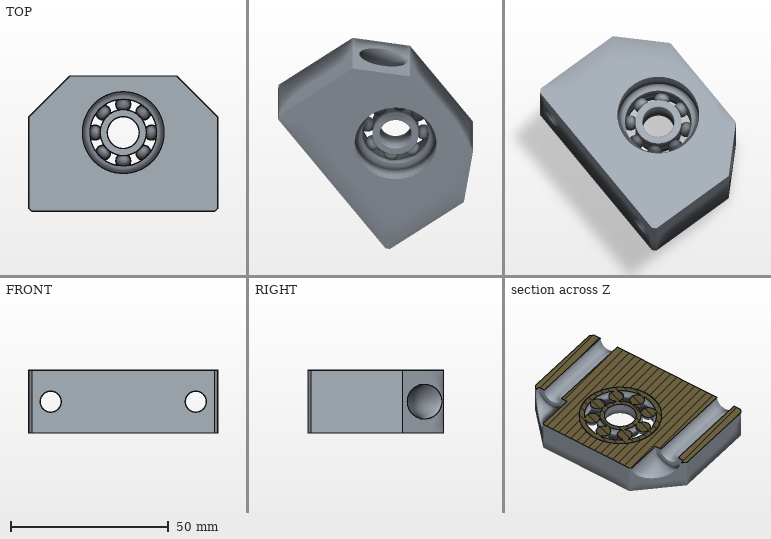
import cadquery as cq
import math


length = 60.0
depth = 43.0
height = 20.0
front_to_axis = 25.0
back_chamfer = 13.0
front_chamfer = 1.0

screw_spacing = 46.0
screw_hole_diameter = 6.6
counterbore_diameter = 11.0

bearing_outer_diameter = 26.0
bearing_bore_diameter = 10.0
bearing_width = 8.0
outer_shoulder_diameter = 21.1
inner_shoulder_diameter = 14.65
ring_edge_radius = 0.3
pitch_diameter = 18.0
ball_count = 8
ball_diameter = 4.8
ball_bite = 0.03

front_y = -front_to_axis
back_y = front_y + depth
counterbore_floor_y = back_y - back_chamfer


def cylinder_along_y(diameter, start_y, end_y, x):
    """Cylinder at mid-height, running in +Y from start_y to end_y."""
    start = cq.Vector(x, start_y, 0)
    direction = cq.Vector(0, 1, 0)
    return cq.Workplane(cq.Solid.makeCylinder(diameter / 2, end_y - start_y, start, direction))


def make_housing():
    """Block with chamfered corners, a bearing bore through it and two counterbored screw holes."""
    block = cq.Workplane("XY").box(length, depth, height).translate((0, front_y + depth / 2, 0))
    block = block.edges("|Z and >Y").chamfer(back_chamfer)
    block = block.edges("|Z and <Y").chamfer(front_chamfer)

    bore = cq.Workplane("XY").circle(bearing_outer_diameter / 2).extrude(height / 2, both=True)
    block = block.cut(bore)

    for x in (-screw_spacing / 2, screw_spacing / 2):
        block = block.cut(cylinder_along_y(screw_hole_diameter, front_y, back_y, x))
        block = block.cut(cylinder_along_y(counterbore_diameter, counterbore_floor_y, back_y, x))
    return block


def make_ring(inner_diameter, outer_diameter):
    """Plain bearing ring centred on the origin."""
    return (
        cq.Workplane("XY")
        .circle(outer_diameter / 2)
        .circle(inner_diameter / 2)
        .extrude(bearing_width / 2, both=True)
    )


def make_bearing():
    """Inner and outer ring, joined into one solid by the balls seated in their raceways."""
    outer_ring = make_ring(outer_shoulder_diameter, bearing_outer_diameter)
    outer_ring = outer_ring.faces("|Z").edges(cq.selectors.RadiusNthSelector(-1)).fillet(ring_edge_radius)
    inner_ring = make_ring(bearing_bore_diameter, inner_shoulder_diameter)
    inner_ring = inner_ring.faces("|Z").edges(cq.selectors.RadiusNthSelector(0)).fillet(ring_edge_radius)

    pitch_radius = pitch_diameter / 2
    ball_radius = ball_diameter / 2
    raceway = cq.Workplane(cq.Solid.makeTorus(pitch_radius, ball_radius - ball_bite))
    bearing = outer_ring.cut(raceway).add(inner_ring.cut(raceway)).combine()

    for index in range(ball_count):
        angle = 2 * math.pi * index / ball_count
        ball = cq.Workplane("XY").sphere(ball_radius)
        ball = ball.translate((pitch_radius * math.cos(angle), pitch_radius * math.sin(angle), 0))
        bearing = bearing.union(ball)
    return bearing


housing = make_housing()
bearing = make_bearing()

result = cq.Compound.makeCompound([housing.solids().val(), bearing.solids().val()])